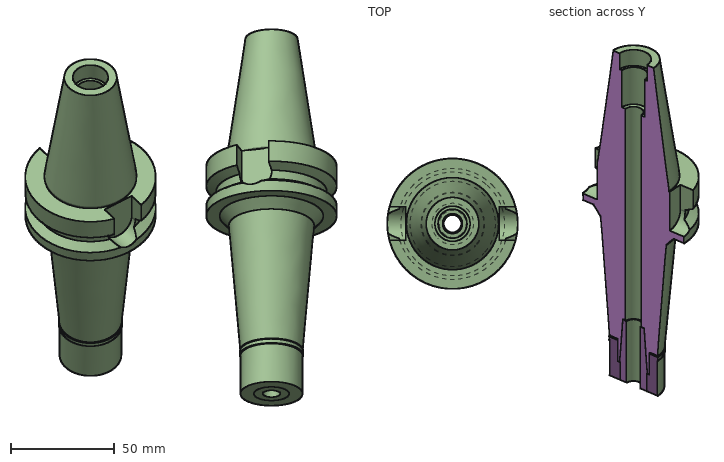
import cadquery as cq
import math


gauge_radius = 44.45 / 2
shank_length = 65.4
taper_ratio = 7 / 24
shank_end_radius = gauge_radius - shank_length * taper_ratio / 2

flange_radius = 63 / 2
flange_top = -1.0
flange_bottom = -27.0
groove_radius = 53.5 / 2
groove_upper_edge = -11.6
groove_lower_edge = -21.6
groove_wall_angle = 30
groove_wall_height = (flange_radius - groove_radius) * math.tan(math.radians(groove_wall_angle))

keyway_width = 16.1
keyway_floor_x = 22.6
keyway_depth = 22.0
cut_margin = 1.0

shoulder_radius = 25.0
shoulder_bottom = -32.0
body_top_radius = 20.6
body_bottom_radius = 15.1
body_bottom = -97.3

spigot_radius = 10.0
spigot_bottom = -110.0

counterbore_radius = 8.5
counterbore_depth = 9.0
thread_radius = 7.0
thread_depth = 30.0
coolant_bore_radius = 4.8

collet_top = -85.0
collet_top_radius = 6.5
collet_mouth_radius = 8.5
collet_bore_radius = 4.2

nut_gap = 0.5
nut_top = body_bottom - nut_gap
nut_bottom = -120.0
nut_radius = 15.0
nut_rim_radius = 15.3
nut_rim_height = 2.0
nut_rim_chamfer = nut_rim_radius - nut_radius


def revolve_profile(points):
    """Revolve a closed (radius, height) outline about the Z axis."""
    return cq.Workplane("YZ").polyline(points).close().revolve(360, (0, 0, 0), (0, 1, 0))


def keyway_cutter(side):
    """Flat-floored slot open at the flange top and at the rim, with a half-round lower end."""
    half_width = keyway_width / 2
    round_centre = flange_top - keyway_depth + half_width
    return (
        cq.Workplane("YZ", origin=(side * keyway_floor_x, 0, 0))
        .moveTo(-half_width, flange_top)
        .lineTo(-half_width, round_centre)
        .threePointArc((0, flange_top - keyway_depth), (half_width, round_centre))
        .lineTo(half_width, flange_top)
        .close()
        .extrude(side * (flange_radius - keyway_floor_x + cut_margin))
    )


def make_holder():
    holder = revolve_profile([
        (counterbore_radius, shank_length),
        (shank_end_radius, shank_length),
        (gauge_radius, 0),
        (gauge_radius, flange_top),
        (flange_radius, flange_top),
        (flange_radius, groove_upper_edge),
        (groove_radius, groove_upper_edge - groove_wall_height),
        (groove_radius, groove_lower_edge + groove_wall_height),
        (flange_radius, groove_lower_edge),
        (flange_radius, flange_bottom),
        (shoulder_radius, flange_bottom),
        (body_top_radius, shoulder_bottom),
        (body_bottom_radius, body_bottom),
        (spigot_radius, body_bottom),
        (spigot_radius, spigot_bottom),
        (collet_mouth_radius, spigot_bottom),
        (collet_top_radius, collet_top),
        (coolant_bore_radius, collet_top),
        (coolant_bore_radius, shank_length - thread_depth),
        (thread_radius, shank_length - thread_depth),
        (thread_radius, shank_length - counterbore_depth),
        (counterbore_radius, shank_length - counterbore_depth),
    ])
    for side in (-1, 1):
        holder = holder.cut(keyway_cutter(side))
    return holder


def make_collet():
    return revolve_profile([
        (collet_bore_radius, collet_top),
        (collet_top_radius, collet_top),
        (collet_mouth_radius, spigot_bottom),
        (collet_mouth_radius, nut_bottom),
        (collet_bore_radius, nut_bottom),
    ])


def make_nut():
    rim_bottom = nut_top - nut_rim_height
    return revolve_profile([
        (spigot_radius, nut_top),
        (nut_rim_radius, nut_top),
        (nut_rim_radius, rim_bottom),
        (nut_radius, rim_bottom - nut_rim_chamfer),
        (nut_radius, nut_bottom),
        (collet_mouth_radius, nut_bottom),
        (collet_mouth_radius, spigot_bottom),
        (spigot_radius, spigot_bottom),
    ])


holder = make_holder()
collet = make_collet()
nut = make_nut()

result = cq.Compound.makeCompound([holder.val(), collet.val(), nut.val()])